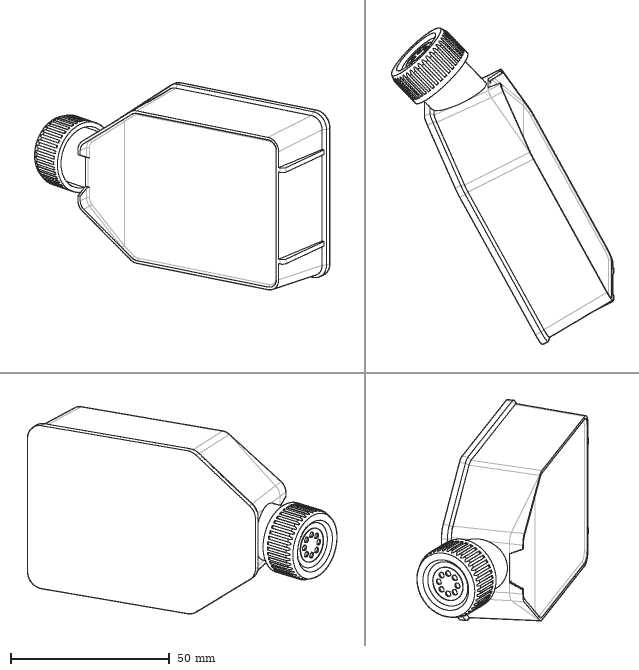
import cadquery as cq
import math

X_RIGHT = 50.2
X_NOSE = -29.7
HALF_HEIGHT = 27.48
NOSE_HALF_HEIGHT = 11.0
WALL_NOSE_HALF_HEIGHT = 10.8
SHOULDER_ANGLE = 36.7
Y_BACK = 11.1
Y_FRONT = -15.1
FLANGE_RADIUS = 5.0
FLANGE_THICKNESS = 3.0
FLANGE_LEDGE = 1.0
WALL_DRAFT = 3.0

RIM_WIDTH = 0.9
FLOOR_DEPTH = 0.8
FLOOR_FILLET = 0.6
X_SLOPE_START = -10.7
Y_NOSE_FLOOR = -10.6
NOTCH_BASE_WIDTH = 9.6
NOTCH_MOUTH_WIDTH = 13.7

FOOT_WIDTH = 1.5
FOOT_SPACING = 30.3
FOOT_FILLET = 1.4
X_FOOT = 49.9

TILT = 15.0
CAP_FACE_X = -47.47
CAP_FACE_Y = 4.57
CAP_RADIUS = 11.5
CAP_FACE_RADIUS = 10.6
CAP_TAPER_LENGTH = 2.1
CAP_LENGTH = 11.8
CAP_BORE_RADIUS = 9.9
CAP_BORE_DEPTH = 8.5
DISH_RADIUS = 8.39
DISH_FLOOR_RADIUS = 7.3
DISH_DEPTH = 1.2
DISC_RADIUS = 5.5
DISC_DEPTH = 0.2
VENT_COUNT = 8
VENT_RADIUS = 0.9
VENT_CIRCLE_RADIUS = 3.4
VENT_DEPTH = 0.5
GROOVE_COUNT = 40
GROOVE_RADIUS = 0.45
PLAIN_BAND = 1.8
NECK_RADIUS = 9.0
NECK_LENGTH = 21.1

WALL_TOP = Y_BACK - FLANGE_THICKNESS
WALL_SLOPE = math.tan(math.radians(WALL_DRAFT))
FRONT_INSET = FLANGE_LEDGE + (WALL_TOP - Y_FRONT) * WALL_SLOPE
NOSE_INSET = FLANGE_LEDGE + (WALL_TOP - Y_NOSE_FLOOR) * WALL_SLOPE
NOSE_NARROWING = math.tan(math.radians((90 - SHOULDER_ANGLE) / 2))
RIM_NOSE_HALF_HEIGHT = WALL_NOSE_HALF_HEIGHT - (NOSE_INSET - FLANGE_LEDGE) * NOSE_NARROWING
WALL_RADIUS = FLANGE_RADIUS - FLANGE_LEDGE
RECESS_RADIUS = WALL_RADIUS - RIM_WIDTH


def outline(inset, nose_inset, nose_z):
    """Corners of the hexagonal flask outline; the neck end has its own inset and half height."""
    shoulder_run = (HALF_HEIGHT - NOSE_HALF_HEIGHT) / math.tan(math.radians(SHOULDER_ANGLE))
    shoulder_x = X_NOSE + shoulder_run + inset * math.tan(math.radians(SHOULDER_ANGLE / 2))
    nose_x = X_NOSE + nose_inset
    side_z = HALF_HEIGHT - inset
    right_x = X_RIGHT - inset
    return [
        (nose_x, -nose_z),
        (shoulder_x, -side_z),
        (right_x, -side_z),
        (right_x, side_z),
        (shoulder_x, side_z),
        (nose_x, nose_z),
    ]


def slab(points, y_start, thickness, radius, draft=0.0):
    """Extrudes an outline from y_start towards -Y and rounds the edges at its corners."""
    plane = cq.Workplane("XZ", origin=(0, y_start, 0))
    block = plane.polyline(points).close().extrude(thickness, taper=draft)
    return block.edges("not(#Y)").fillet(radius)


def make_flange():
    flange = slab(outline(0, 0, NOSE_HALF_HEIGHT), Y_BACK, FLANGE_THICKNESS, FLANGE_RADIUS)
    return flange.faces("<Y").chamfer(FLANGE_LEDGE)


def make_walls():
    """Drafted body, with an undrafted skirt that keeps the rim upright at the neck end."""
    walls = slab(
        outline(FLANGE_LEDGE, FLANGE_LEDGE, WALL_NOSE_HALF_HEIGHT),
        WALL_TOP,
        WALL_TOP - Y_FRONT,
        WALL_RADIUS,
        WALL_DRAFT,
    )
    skirt = slab(
        outline(FRONT_INSET, NOSE_INSET, RIM_NOSE_HALF_HEIGHT),
        Y_NOSE_FLOOR,
        Y_NOSE_FLOOR - Y_FRONT,
        WALL_RADIUS,
    )
    return walls.union(skirt)


def make_notch(x_end):
    """Trapezoidal gap in the rim at the neck end."""
    return (
        cq.Workplane("YZ", origin=(X_NOSE, 0, 0))
        .moveTo(Y_FRONT, -NOTCH_MOUTH_WIDTH / 2)
        .lineTo(Y_NOSE_FLOOR, -NOTCH_BASE_WIDTH / 2)
        .lineTo(Y_NOSE_FLOOR, NOTCH_BASE_WIDTH / 2)
        .lineTo(Y_FRONT, NOTCH_MOUTH_WIDTH / 2)
        .close()
        .extrude(x_end - X_NOSE)
    )


def make_recess():
    """Space inside the rim; its floor is flat and then slopes deeper towards the neck."""
    inner = outline(
        FRONT_INSET + RIM_WIDTH,
        NOSE_INSET + RIM_WIDTH,
        RIM_NOSE_HALF_HEIGHT - RIM_WIDTH * NOSE_NARROWING,
    )
    recess = slab(inner, Y_NOSE_FLOOR, Y_NOSE_FLOOR - Y_FRONT, RECESS_RADIUS)
    nose_x = X_NOSE + NOSE_INSET + RIM_WIDTH
    floor_y = Y_FRONT + FLOOR_DEPTH
    margin = 0.1
    depth_profile = (
        cq.Workplane("XY", origin=(0, 0, -HALF_HEIGHT))
        .moveTo(nose_x, Y_FRONT)
        .lineTo(nose_x, Y_NOSE_FLOOR)
        .lineTo(X_SLOPE_START, floor_y)
        .lineTo(X_RIGHT, floor_y)
        .lineTo(X_RIGHT, Y_FRONT)
        .close()
        .extrude(2 * HALF_HEIGHT)
    )
    recess = recess.intersect(depth_profile).union(make_notch(nose_x))
    slope_crease = cq.NearestToPointSelector((X_SLOPE_START, floor_y, 0))
    nose_crease = cq.NearestToPointSelector((nose_x, Y_NOSE_FLOOR, 0))
    notch_base = cq.selectors.BoxSelector(
        (X_NOSE - margin, Y_FRONT, -HALF_HEIGHT), (nose_x - margin, 0, HALF_HEIGHT)
    )
    notch_sides = cq.selectors.BoxSelector(
        (X_NOSE, Y_FRONT, -HALF_HEIGHT), (nose_x + margin, Y_NOSE_FLOOR - margin, HALF_HEIGHT)
    )
    floor_edges = cq.StringSyntaxSelector("not(|Y or <Y)") - slope_crease - nose_crease
    floor_edges = floor_edges - notch_base - notch_sides
    return recess.edges(floor_edges).fillet(FLOOR_FILLET)


def make_foot(z):
    wall_x = X_RIGHT - FRONT_INSET - RIM_WIDTH / 2
    length = X_FOOT - wall_x
    height = WALL_TOP - Y_FRONT
    foot = cq.Workplane("XY").box(length, height, FOOT_WIDTH, centered=(False, False, True))
    foot = foot.edges(">X and <Y").fillet(FOOT_FILLET)
    return foot.translate((wall_x, Y_FRONT, z))


def place_on_axis(body):
    """Moves a body built along +Z from the cap face onto the tilted neck axis."""
    body = body.rotate((0, 0, 0), (0, 1, 0), 90)
    body = body.rotate((0, 0, 0), (0, 0, 1), -TILT)
    return body.translate((CAP_FACE_X, CAP_FACE_Y, 0))


def make_neck():
    start = CAP_LENGTH - CAP_BORE_DEPTH
    neck = cq.Workplane("XY", origin=(0, 0, start)).circle(NECK_RADIUS).extrude(NECK_LENGTH)
    return place_on_axis(neck)


def make_flask():
    flask = make_walls().union(make_neck())
    flask = flask.union(make_flange())
    flask = flask.cut(make_recess())
    for side in (-1, 1):
        flask = flask.union(make_foot(side * FOOT_SPACING / 2))
    return flask


def make_grooves():
    """Half-round grip grooves around the cap."""
    return (
        cq.Workplane("XY")
        .polarArray(CAP_RADIUS, 0, 360, GROOVE_COUNT)
        .circle(GROOVE_RADIUS)
        .extrude(CAP_LENGTH - PLAIN_BAND)
    )


def make_cap():
    profile = [
        (0, DISH_DEPTH),
        (DISH_FLOOR_RADIUS, DISH_DEPTH),
        (DISH_RADIUS, 0),
        (CAP_FACE_RADIUS, 0),
        (CAP_RADIUS, CAP_TAPER_LENGTH),
        (CAP_RADIUS, CAP_LENGTH),
        (CAP_BORE_RADIUS, CAP_LENGTH),
        (CAP_BORE_RADIUS, CAP_LENGTH - CAP_BORE_DEPTH),
        (0, CAP_LENGTH - CAP_BORE_DEPTH),
    ]
    cap = cq.Workplane("XZ").polyline(profile).close().revolve(360, (0, 0, 0), (0, 1, 0))
    cap = cap.cut(make_grooves())
    disc = cq.Workplane("XY").circle(DISC_RADIUS).extrude(DISH_DEPTH + DISC_DEPTH)
    vents = (
        cq.Workplane("XY")
        .polarArray(VENT_CIRCLE_RADIUS, 0, 360, VENT_COUNT)
        .circle(VENT_RADIUS)
        .extrude(DISH_DEPTH + DISC_DEPTH + VENT_DEPTH)
    )
    return place_on_axis(cap.cut(disc).cut(vents))


flask = make_flask()
cap = make_cap()
result = cq.Compound.makeCompound([flask.val(), cap.val()])